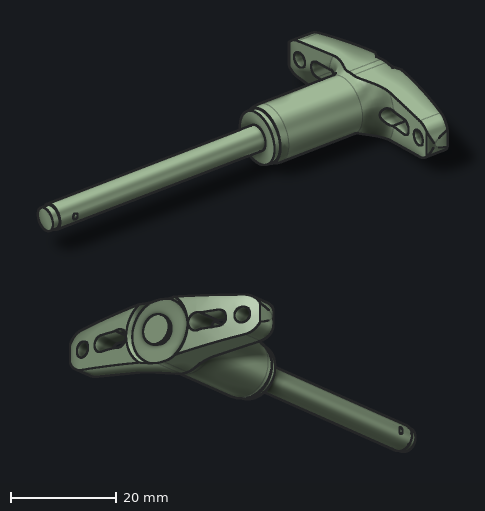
import cadquery as cq
import math

length = 82.6

pin_radius = 2.65
tip_radius = 2.4
tip_length = 1.6
ball_radius = 1.0
ball_reach = 2.8
ball_y = 5.2

collar_radius = 5.45
collar_start_y = 50.8
sleeve_start_y = 52.1
sleeve_radius = 5.95
sleeve_round_height = 1.7
sleeve_round_inset = 0.3
sleeve_round_radius = (sleeve_round_height**2 + sleeve_round_inset**2) / (2 * sleeve_round_inset)
sleeve_end_y = 71.5

middle_radius = 12.6 / 2
end_x = 18.6
tip_x = 45.2 / 2
end_radius = tip_x - end_x

flare_radius = 4.3
dome_top_y = 82.6
dome_radius = 82.6
blank_radius = 24.8
dome_rim_y = dome_top_y - dome_radius + math.sqrt(dome_radius**2 - blank_radius**2)
underside_rim_y = 74.75
end_top_x = 22.1
end_top_y = 79.5
taper_bottom_y = 76.2
end_bottom_y = 75.0
end_round = 1.15

trim_margin = 0.8

hole_radius = 1.6
slot_radius = 1.65
slot_outer_x = 13.6
slot_inner_x = 9.1
slot_end_radius = 1.8

dish_floor_radius = 6.45
dish_floor_y = 81.3
dish_rim_radius = 7.35
button_radius = 3.0
button_thickness = 0.6
button_neck_radius = 2.7


def revolve_about_y(outline):
    return outline.close().revolve(360, (0, 0, 0), (0, 1, 0))


def cylinder_along_y(radius, start_y, end_y, x=0.0):
    disc = cq.Workplane("XZ", origin=(0, start_y, 0)).center(x, 0).circle(radius)
    return disc.extrude(start_y - end_y)


def handle_outline():
    """Prism along Y with the tapered plan shape of the handle."""
    sin_taper = (middle_radius - end_radius) / end_x
    cos_taper = math.sqrt(1 - sin_taper**2)
    middle_x = middle_radius * sin_taper
    middle_z = middle_radius * cos_taper
    outer_x = end_x + end_radius * sin_taper
    outer_z = end_radius * cos_taper
    return (
        cq.Workplane("XZ", origin=(0, sleeve_end_y - trim_margin, 0))
        .moveTo(-middle_x, middle_z)
        .threePointArc((0, middle_radius), (middle_x, middle_z))
        .lineTo(outer_x, outer_z)
        .threePointArc((tip_x, 0), (outer_x, -outer_z))
        .lineTo(middle_x, -middle_z)
        .threePointArc((0, -middle_radius), (-middle_x, -middle_z))
        .lineTo(-outer_x, -outer_z)
        .threePointArc((-tip_x, 0), (-outer_x, outer_z))
        .close()
        .extrude(sleeve_end_y - length - 2 * trim_margin)
    )


def handle_blank():
    """Round blank: domed top, flared and slightly conical underside."""
    flare_outer_radius = sleeve_radius + flare_radius
    flare_end_y = sleeve_end_y + flare_radius
    bend = flare_radius * math.sqrt(0.5)
    return revolve_about_y(
        cq.Workplane("XY")
        .moveTo(0, sleeve_end_y)
        .lineTo(sleeve_radius, sleeve_end_y)
        .threePointArc((flare_outer_radius - bend, sleeve_end_y + bend), (flare_outer_radius, flare_end_y))
        .lineTo(blank_radius, underside_rim_y)
        .lineTo(blank_radius, dome_rim_y)
        .radiusArc((0, dome_top_y), -dome_radius)
    )


def end_profile():
    """Prism along Z whose ends lean inward to the top and are rounded at the bottom."""
    half = (
        cq.Workplane("XY")
        .moveTo(0, length + trim_margin)
        .lineTo(end_top_x, length + trim_margin)
        .lineTo(end_top_x, end_top_y)
        .lineTo(tip_x, taper_bottom_y)
        .radiusArc((tip_x - end_round, end_bottom_y), end_round)
        .lineTo(tip_x - end_round, sleeve_end_y - trim_margin)
        .lineTo(0, sleeve_end_y - trim_margin)
        .close()
        .extrude(middle_radius + trim_margin, both=True)
    )
    return half.union(half.mirror("YZ"))


def dish():
    """Round recess with a flat floor and a conical wall."""
    return revolve_about_y(
        cq.Workplane("XY")
        .moveTo(0, dish_floor_y)
        .lineTo(dish_floor_radius, dish_floor_y)
        .lineTo(dish_rim_radius, length)
        .lineTo(0, length)
    )


def handle():
    body = handle_blank().intersect(handle_outline()).intersect(end_profile()).cut(dish())
    slot_middle_x = (slot_outer_x + slot_inner_x) / 2
    slot_length = slot_outer_x - slot_inner_x + 2 * slot_radius
    for side in (-1, 1):
        slot = (
            cq.Workplane("XZ", origin=(0, sleeve_end_y, 0))
            .center(side * slot_middle_x, 0)
            .slot2D(slot_length, 2 * slot_radius)
            .extrude(sleeve_end_y - length)
        )
        body = body.cut(slot)
        body = body.cut(cylinder_along_y(slot_end_radius, sleeve_end_y, length, side * slot_inner_x))
        body = body.cut(cylinder_along_y(hole_radius, sleeve_end_y, length, side * end_x))
    return body


def sleeve_and_pin():
    return revolve_about_y(
        cq.Workplane("XY")
        .lineTo(tip_radius, 0)
        .lineTo(tip_radius, tip_length)
        .lineTo(pin_radius, tip_length)
        .lineTo(pin_radius, collar_start_y)
        .lineTo(collar_radius, collar_start_y)
        .lineTo(collar_radius, sleeve_start_y)
        .lineTo(sleeve_radius - sleeve_round_inset, sleeve_start_y)
        .radiusArc((sleeve_radius, sleeve_start_y + sleeve_round_height), -sleeve_round_radius)
        .lineTo(sleeve_radius, sleeve_end_y)
        .lineTo(0, sleeve_end_y)
    )


def locking_ball(side):
    return cq.Workplane("XY").sphere(ball_radius).translate((side * (ball_reach - ball_radius), ball_y, 0))


def button():
    button_start_y = length - button_thickness
    neck = cylinder_along_y(button_neck_radius, dish_floor_y, button_start_y)
    return neck.union(cylinder_along_y(button_radius, button_start_y, length))


result = sleeve_and_pin().union(handle()).union(button())
for ball_side in (-1, 1):
    result = result.union(locking_ball(ball_side))